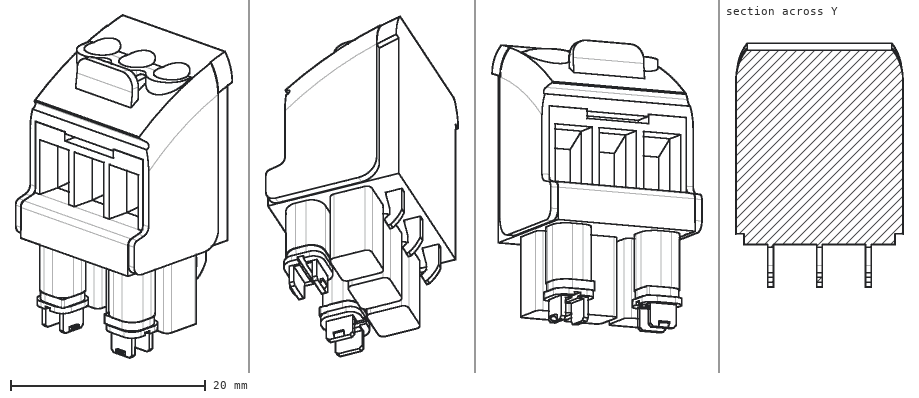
import cadquery as cq
import math


WIDTH = 17.15
DEPTH = 14.5
BODY_HEIGHT = 20.67
PLUG_LENGTH = 9.9
PITCH = 5.0
POLES = (-PITCH, 0, PITCH)

CORE_WIDTH = 15.53
CAP_WIDTH = 16.95
CHEEK_BACK_Y = -2.15
CHEEK_SETBACK = 0.1
FRONT_Y = -12.3
PANEL_Y = FRONT_Y - 0.05
PANEL_TOP_Z = 12.23
LIP_BACK_Z = 4.4
LIP_FRONT_Z = 3.88
LIP_FILLET = 0.6
CHEEK_CORNER_BACK = 2.0
CHEEK_CORNER_FRONT = 1.07
CHEEK_COVE = 0.9

ROOF_RADIUS = 34.85
ROOF_WIDTH = 15.05
ROOF_EDGE_DROP = 3.0
NOSE_Y = -12.63
NOSE_Z = 14.75
NOSE_UNDER_Z = 14.6
GROOVE_Y = -11.93
GROOVE_TOP_Y = -12.1
GROOVE_TOP_Z = 14.2
GROOVE_BOTTOM_Z = 13.45

ENTRY_WIDTH = 4.22
ENTRY_TOP_Z = 10.4
ENTRY_DEPTH = 2.6
THROAT_WIDTH = 2.5
THROAT_TOP_Z = 8.55
THROAT_BOTTOM_Z = 5.0
THROAT_DEPTH = 0.92
SLOT_WIDTH = 6.97
SLOT_BOTTOM_Z = 11.25
SLOT_TOP_Z = 12.02
SLOT_DEPTH = 2.45

HOLE_DIAMETER = 3.73
HOLE_Y = -5.35
HOLE_FLOOR_Z = 16.97
COLLAR_RADIUS = 2.35
COLLAR_Y = -5.78
COLLAR_Z = 19.08
COLLAR_BACK_Y = -4.83
COLLAR_FLAT_Y = -5.93
COLLAR_VALLEY_Y = -6.97

TAB_WIDTH = 8.0
TAB_CORNER = 1.5
TAB_BACK_Y = -9.2
TAB_TOP_FRONT_Y = -10.05
TAB_FOOT_Y = -10.27
TAB_TOP_Z = 19.88
TAB_BEND_Z = 17.98
RIB_INNER_X = 2.17
RIB_OUTER_X = 3.15
RIB_BACK_Z = 18.85
RIB_FRONT_Z = 18.47
POCKET_FRONT_Y = -8.93
POCKET_BACK_Z = 18.35
POCKET_FLOOR_Z = 16.5

BLOCK_FRONT_Y = -8.07
BLOCK_BACK_Y = -3.5
BLOCK_LENGTH = 8.32
BLOCK_CORNER = 0.58
MIDDLE_BLOCK_WIDTH = 4.22
OUTER_BLOCK_WIDTH = 4.1

PIN_Y = -11.13
PIN_SIZE = 4.25
PIN_CORNER = 1.53
PIN_LENGTH = 5.85
NECK_SIZE = 4.13
NECK_END = 6.8
KEY_CORNER = 0.2
FLANGE_SIZE = 4.43
FLANGE_CORNER = 1.22
FLANGE_END = 7.45
WEB_END = 7.65
PRONG_WIDTH = 2.95
PRONG_OUTER = 1.53
PRONG_INNER = 1.0
PRONG_CHAMFER = 0.3
PIN_NOTCH_WIDTH = 0.67
PIN_NOTCH_TOP = 7.15
BARB_WIDTH = 1.1
BARB_REACH = 0.3
BARB_TOP = 9.35

HOOK_WIDTH = 0.6
HOOK_LENGTH = 4.37
HOOK_BACK_Y = -0.65
HOOK_ROOT_Y = -2.48
HOOK_THROAT_Y = -2.02
HOOK_TIP_Y = -2.6

EMBED = 0.3
SUNK_Z = 15.3


def extrude_yz(outline, x_min, x_max):
    """Extrude a closed YZ outline from x_min to x_max."""
    return outline.close().extrude(x_max - x_min).translate((x_min, 0, 0))


def box(x_min, x_max, y_min, y_max, z_min, z_max):
    """Box between the given limits."""
    block = cq.Workplane("XY").box(x_max - x_min, y_max - y_min, z_max - z_min, centered=False)
    return block.translate((x_min, y_min, z_min))


def roof_centre():
    """Centre (y, z) of the roof arc through the top back edge and the nose."""
    chord = math.hypot(NOSE_Y, NOSE_Z - BODY_HEIGHT)
    along_y = NOSE_Y / chord
    along_z = (NOSE_Z - BODY_HEIGHT) / chord
    height = math.sqrt(ROOF_RADIUS ** 2 - (chord / 2) ** 2)
    centre_y = NOSE_Y / 2 - along_z * height
    centre_z = (NOSE_Z + BODY_HEIGHT) / 2 + along_y * height
    return centre_y, centre_z


ROOF_Y, ROOF_Z = roof_centre()


def roof_height(y):
    return ROOF_Z + math.sqrt(ROOF_RADIUS ** 2 - (y - ROOF_Y) ** 2)


def roof_disc(width):
    """Disc about the roof axis whose rim carries the rounded side edges."""
    half = width / 2
    edge_inset = (WIDTH - ROOF_WIDTH) / 2
    half_roof = half - edge_inset
    edge_radius = (ROOF_EDGE_DROP ** 2 + edge_inset ** 2) / (2 * edge_inset)
    side_radius = ROOF_RADIUS - ROOF_EDGE_DROP
    half_angle = math.asin(ROOF_EDGE_DROP / edge_radius) / 2
    mid_x = half - edge_radius * (1 - math.cos(half_angle))
    mid_radius = side_radius + edge_radius * math.sin(half_angle)
    disc = (
        cq.Workplane("XY")
        .moveTo(-half, 0)
        .lineTo(half, 0)
        .lineTo(half, side_radius)
        .threePointArc((mid_x, mid_radius), (half_roof, ROOF_RADIUS))
        .lineTo(-half_roof, ROOF_RADIUS)
        .threePointArc((-mid_x, mid_radius), (-half, side_radius))
        .close()
        .revolve(360, (0, 0, 0), (1, 0, 0))
    )
    return disc.translate((0, ROOF_Y, ROOF_Z))


def draw_head(outline, back_y):
    """Continue an outline from the front face round the nose and over the roof to back_y."""
    groove_mid_z = (GROOVE_BOTTOM_Z + GROOVE_TOP_Z) / 2
    above_roof = BODY_HEIGHT + EMBED
    return (
        outline.lineTo(FRONT_Y, GROOVE_BOTTOM_Z)
        .threePointArc((GROOVE_Y, groove_mid_z), (GROOVE_TOP_Y, GROOVE_TOP_Z))
        .lineTo(NOSE_Y, NOSE_UNDER_Z)
        .lineTo(NOSE_Y, above_roof)
        .lineTo(back_y, above_roof)
    )


def core():
    outline = (
        cq.Workplane("YZ")
        .moveTo(0, 0)
        .lineTo(-DEPTH, 0)
        .lineTo(-DEPTH, LIP_FRONT_Z)
        .lineTo(PANEL_Y, LIP_BACK_Z)
        .lineTo(PANEL_Y, PANEL_TOP_Z)
        .lineTo(FRONT_Y, PANEL_TOP_Z)
    )
    half = CORE_WIDTH / 2
    solid = extrude_yz(draw_head(outline, 0), -half, half)
    lip_edge = cq.selectors.NearestToPointSelector((0, -DEPTH, LIP_FRONT_Z))
    return solid.edges(lip_edge).fillet(LIP_FILLET)


def cheek():
    """Side wall on the -X side, with rounded lower corners."""
    front = -DEPTH + CHEEK_SETBACK
    bottom = CHEEK_SETBACK
    outline = (
        cq.Workplane("YZ")
        .moveTo(CHEEK_BACK_Y, bottom)
        .lineTo(front, bottom)
        .lineTo(front, LIP_FRONT_Z)
        .lineTo(FRONT_Y, LIP_BACK_Z)
    )
    outline = draw_head(outline, CHEEK_BACK_Y)
    solid = extrude_yz(outline, -WIDTH / 2, -CORE_WIDTH / 2)
    rounded_corners = (
        (CHEEK_BACK_Y, bottom, CHEEK_CORNER_BACK),
        (front, bottom, CHEEK_CORNER_FRONT),
        (front, LIP_FRONT_Z, LIP_FILLET),
        (FRONT_Y, LIP_BACK_Z, CHEEK_COVE),
    )
    side_x = -(WIDTH + CORE_WIDTH) / 4
    for y, z, radius in rounded_corners:
        corner = cq.selectors.NearestToPointSelector((side_x, y, z))
        solid = solid.edges(corner).fillet(radius)
    return solid


def cap():
    """Overhanging roof edge behind the cheeks."""
    half = CAP_WIDTH / 2
    slab = box(-half, half, CHEEK_BACK_Y, 0, BODY_HEIGHT / 2, BODY_HEIGHT + EMBED)
    below_edge = (
        cq.Workplane("YZ")
        .center(ROOF_Y, ROOF_Z)
        .circle(ROOF_RADIUS - ROOF_EDGE_DROP)
        .extrude(half, both=True)
    )
    return slab.cut(below_edge)


def housing():
    """Wide cheeks in front, slightly narrower overhanging cap behind."""
    half = WIDTH / 2
    left_cheek = cheek()
    block = core()
    back_part = box(-half, half, CHEEK_BACK_Y, 0, 0, BODY_HEIGHT + EMBED)
    front = block.cut(back_part).union(left_cheek).union(left_cheek.mirror("YZ"))
    back = block.intersect(back_part).union(cap())
    return front.intersect(roof_disc(WIDTH)).union(back.intersect(roof_disc(CAP_WIDTH)))


def wire_entry(x):
    """Straight rectangular entry that narrows to a smaller throat."""
    entry_height = ENTRY_TOP_Z - LIP_BACK_Z
    throat_height = THROAT_TOP_Z - THROAT_BOTTOM_Z
    entry_mid_z = (ENTRY_TOP_Z + LIP_BACK_Z) / 2
    throat_mid_z = (THROAT_TOP_Z + THROAT_BOTTOM_Z) / 2
    taper_y = PANEL_Y + ENTRY_DEPTH
    half = ENTRY_WIDTH / 2
    straight = box(x - half, x + half, PANEL_Y, taper_y, LIP_BACK_Z, ENTRY_TOP_Z)
    throat = (
        cq.Workplane("XZ", origin=(x, taper_y, entry_mid_z))
        .rect(ENTRY_WIDTH, entry_height)
        .workplane(offset=-THROAT_DEPTH)
        .center(0, throat_mid_z - entry_mid_z)
        .rect(THROAT_WIDTH, throat_height)
        .loft(ruled=True)
    )
    return straight.union(throat)


def marker_slot():
    """Deep slot in the housing that opens through a notch in the top edge of the panel."""
    half = SLOT_WIDTH / 2
    notch = box(-half, half, PANEL_Y, FRONT_Y, SLOT_BOTTOM_Z, PANEL_TOP_Z)
    return notch.union(box(-half, half, FRONT_Y, FRONT_Y + SLOT_DEPTH, SLOT_BOTTOM_Z, SLOT_TOP_Z))


def collar_plan(height):
    """Scalloped plan of the collar: three discs joined through concave valleys."""
    plan = box(-PITCH - COLLAR_RADIUS, PITCH + COLLAR_RADIUS, COLLAR_Y, COLLAR_BACK_Y, 0, height)
    discs = cq.Workplane("XY").pushPoints([(x, COLLAR_Y) for x in POLES])
    plan = plan.union(discs.circle(COLLAR_RADIUS).extrude(height))
    rise = COLLAR_Y - COLLAR_VALLEY_Y
    half_pitch = PITCH / 2
    valley_radius = (half_pitch ** 2 + rise ** 2 - COLLAR_RADIUS ** 2) / (2 * (COLLAR_RADIUS - rise))
    valley_y = COLLAR_VALLEY_Y - valley_radius
    for x in (-half_pitch, half_pitch):
        triangle = cq.Workplane("XY").polyline(
            [(x - half_pitch, COLLAR_Y), (x, valley_y), (x + half_pitch, COLLAR_Y)]
        )
        valley = cq.Workplane("XY").center(x, valley_y).circle(valley_radius).extrude(height)
        plan = plan.union(triangle.close().extrude(height).cut(valley))
    return plan


def collar():
    front = COLLAR_Y - COLLAR_RADIUS
    outline = cq.Workplane("YZ").polyline(
        [
            (COLLAR_BACK_Y, SUNK_Z),
            (COLLAR_BACK_Y, roof_height(COLLAR_BACK_Y)),
            (COLLAR_FLAT_Y, COLLAR_Z),
            (front, COLLAR_Z),
            (front, SUNK_Z),
        ]
    )
    return collar_plan(BODY_HEIGHT).intersect(extrude_yz(outline, -WIDTH / 2, WIDTH / 2))


def screw_holes():
    holes = cq.Workplane("XY", origin=(0, HOLE_Y, HOLE_FLOOR_Z)).pushPoints([(x, 0) for x in POLES])
    return holes.circle(HOLE_DIAMETER / 2).extrude(BODY_HEIGHT - HOLE_FLOOR_Z)


def release_tab():
    half = TAB_WIDTH / 2
    side = cq.Workplane("YZ").polyline(
        [
            (TAB_BACK_Y, SUNK_Z),
            (TAB_FOOT_Y, SUNK_Z),
            (TAB_FOOT_Y, roof_height(TAB_FOOT_Y)),
            (TAB_TOP_FRONT_Y, TAB_BEND_Z),
            (TAB_TOP_FRONT_Y, TAB_TOP_Z),
            (TAB_BACK_Y, TAB_TOP_Z),
        ]
    )
    face = box(-half, half, TAB_FOOT_Y, TAB_BACK_Y, SUNK_Z, TAB_TOP_Z)
    face = face.edges("|Y and >Z").fillet(TAB_CORNER)
    return extrude_yz(side, -half, half).intersect(face)


def tab_rib(x_min):
    outline = cq.Workplane("YZ").polyline(
        [
            (COLLAR_Y, SUNK_Z),
            (TAB_BACK_Y, SUNK_Z),
            (TAB_BACK_Y, RIB_FRONT_Z),
            (COLLAR_Y, RIB_BACK_Z),
        ]
    )
    return extrude_yz(outline, x_min, x_min + RIB_OUTER_X - RIB_INNER_X)


def tab_pocket():
    """Steep pocket between the ribs, under the collar."""
    outline = cq.Workplane("YZ").polyline(
        [
            (COLLAR_VALLEY_Y, POCKET_BACK_Z),
            (COLLAR_VALLEY_Y, BODY_HEIGHT),
            (POCKET_FRONT_Y, BODY_HEIGHT),
            (POCKET_FRONT_Y, POCKET_FLOOR_Z),
        ]
    )
    return extrude_yz(outline, -RIB_INNER_X, RIB_INNER_X)


def rounded_bar(x, y, x_size, y_size, corner, top, bottom):
    """Vertical bar with rounded corners between two depths below the housing."""
    bar = box(x - x_size / 2, x + x_size / 2, y - y_size / 2, y + y_size / 2, -bottom, -top)
    return bar.edges("|Z").fillet(corner)


def contact_block(x):
    width = OUTER_BLOCK_WIDTH if x else MIDDLE_BLOCK_WIDTH
    mid_y = (BLOCK_FRONT_Y + BLOCK_BACK_Y) / 2
    depth = BLOCK_BACK_Y - BLOCK_FRONT_Y
    return rounded_bar(x, mid_y, width, depth, BLOCK_CORNER, -EMBED, BLOCK_LENGTH)


def prong():
    """Spring prong on the +X side of a pin, with a barb on its outer face."""
    half = PRONG_WIDTH / 2
    half_barb = BARB_WIDTH / 2
    leg = box(PRONG_INNER, PRONG_OUTER, -half, half, -PLUG_LENGTH, -FLANGE_END)
    leg = leg.edges("|X and <Z").chamfer(PRONG_CHAMFER)
    barb = cq.Workplane("XZ").polyline(
        [
            (PRONG_OUTER, -BARB_TOP),
            (PRONG_OUTER + BARB_REACH, -BARB_TOP),
            (PRONG_OUTER + BARB_REACH, -BARB_TOP - BARB_REACH / 2),
            (PRONG_OUTER, -PLUG_LENGTH),
        ]
    )
    return leg.union(barb.close().extrude(half_barb, both=True))


def coding_pin(x, turn):
    """Rounded pin with a flange, two prongs and one sharper neck corner, turned about its own axis."""
    half = PRONG_WIDTH / 2
    half_neck = NECK_SIZE / 2
    half_notch = PIN_NOTCH_WIDTH / 2
    pin = rounded_bar(0, 0, PIN_SIZE, PIN_SIZE, PIN_CORNER, -EMBED, PIN_LENGTH)
    pin = pin.union(rounded_bar(0, 0, NECK_SIZE, NECK_SIZE, PIN_CORNER, PIN_LENGTH, NECK_END))
    key = box(0, half_neck, -half_neck, 0, -NECK_END, -PIN_LENGTH)
    pin = pin.union(key.edges("|Z and >X and <Y").fillet(KEY_CORNER))
    pin = pin.union(rounded_bar(0, 0, FLANGE_SIZE, FLANGE_SIZE, FLANGE_CORNER, NECK_END, FLANGE_END))
    pin = pin.union(box(-PRONG_OUTER, PRONG_OUTER, -half, half, -WEB_END, -FLANGE_END))
    pin = pin.cut(box(-half_notch, half_notch, -FLANGE_SIZE, FLANGE_SIZE, -WEB_END, -PIN_NOTCH_TOP))
    pin = pin.union(prong()).union(prong().mirror("YZ"))
    return pin.rotate((0, 0, 0), (0, 0, 1), turn).translate((x, PIN_Y, 0))


def latch_hook(x):
    """Hanging hook with a slanted tip that points towards the front."""
    outline = (
        cq.Workplane("YZ")
        .moveTo(HOOK_BACK_Y, EMBED)
        .lineTo(HOOK_BACK_Y, -2.7)
        .threePointArc((-1.13, -3.55), (-1.9, -4.3))
        .lineTo(-2.2, -HOOK_LENGTH)
        .lineTo(HOOK_TIP_Y, -3.5)
        .lineTo(HOOK_THROAT_Y, -2.9)
        .lineTo(HOOK_THROAT_Y, -2.15)
        .lineTo(HOOK_ROOT_Y, 0)
        .lineTo(HOOK_ROOT_Y, EMBED)
    )
    return extrude_yz(outline, x - HOOK_WIDTH / 2, x + HOOK_WIDTH / 2)


result = housing().cut(tab_pocket()).union(collar()).cut(screw_holes())
result = result.union(release_tab()).union(tab_rib(RIB_INNER_X)).union(tab_rib(-RIB_OUTER_X))
result = result.cut(marker_slot())
for pole_x in POLES:
    result = result.cut(wire_entry(pole_x)).union(contact_block(pole_x)).union(latch_hook(pole_x))
result = result.union(coding_pin(-PITCH, 0)).union(coding_pin(PITCH, -90))